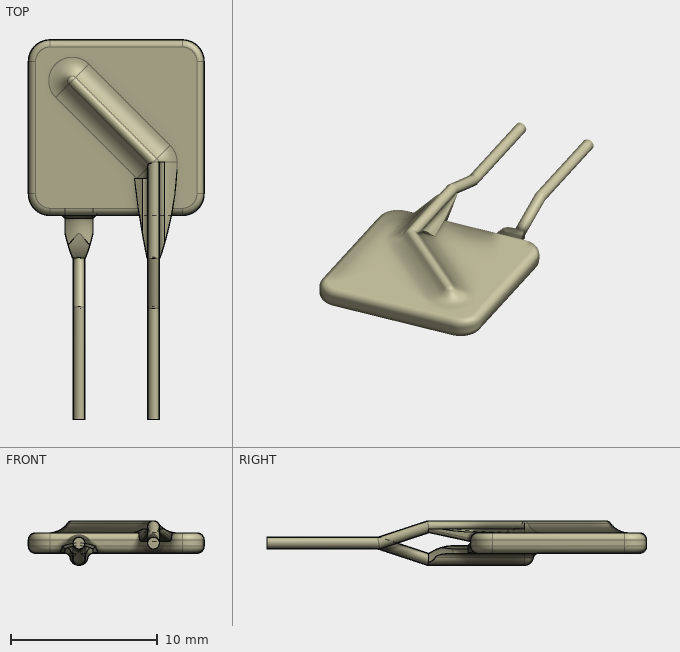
import cadquery as cq
import math

BODY_SIZE = 12.0
BODY_THICKNESS = 1.4
BODY_CORNER_RADIUS = 1.5
BODY_EDGE_RADIUS = 0.5
FACE_Z = BODY_THICKNESS / 2
FRONT_Y = -BODY_SIZE / 2

WIRE_DIAMETER = 0.8
WIRE_RADIUS = WIRE_DIAMETER / 2
LEAD_PITCH = 5.08
LEAD_X = LEAD_PITCH / 2
LEAD_Z = 1.12
LEAD_START_Y = -2.34
SLOPE_START_Y = -8.87
SLOPE_END_Y = -12.27
LEAD_END_Y = -19.9

RIDGE_HALF_WIDTH = 1.6
DIAGONAL_END_X = -3.0
DIAGONAL_LENGTH = (LEAD_X - DIAGONAL_END_X) * math.sqrt(2)
DIAGONAL_ANGLE = 135.0

TAIL_INNER_OFFSET = 1.3
TAIL_INNER_TAPER_Y = -3.45
TAIL_INNER_MID_OFFSET = 0.98
TAIL_OUTER_TAPER_Y = -2.9
TAIL_OUTER_MID_OFFSET = 1.24
TAIL_MID_Y = -5.9
TAIL_UNDERSIDE_Z = 0.1
TAIL_TOP_Z = 0.95
TAIL_EDGE_RADIUS = 0.22

NECK_HALF_WIDTH = 0.96
SHEATH_RADIUS = 0.62
NECK_CROWN_Z = -0.17
NECK_SHOULDER_Z = -0.4
NECK_TAPER_Y = -7.2
NECK_MID_Y = -8.1
NECK_MID_OFFSET = 0.72
NECK_MID_RISE = 0.33
NECK_ROOT_REACH = 0.18
NECK_ROOT_DEPTH = 0.3
NECK_ROOT_BASE_Z = -0.65

RIDGE_TOP_Z = LEAD_Z + WIRE_RADIUS
WIRE_UNDERSIDE_Z = LEAD_Z - WIRE_RADIUS
COATING_TIP_OFFSET = 0.45


def flare_points(half_width, crest_radius):
    """Middle of the concave flare rising from the face, and its contact with the round crest."""
    crest_z = RIDGE_TOP_Z - crest_radius
    rise = crest_z - FACE_Z
    flare_radius = (half_width**2 + rise**2 - crest_radius**2) / (2 * (crest_radius + rise))
    flare_z = FACE_Z + flare_radius
    fraction = crest_radius / (crest_radius + flare_radius)
    contact_x = fraction * half_width
    contact_z = crest_z + fraction * (flare_z - crest_z)
    contact_angle = math.atan2(contact_z - flare_z, contact_x - half_width) % (2 * math.pi)
    middle_angle = (contact_angle + 1.5 * math.pi) / 2
    middle_x = half_width + flare_radius * math.cos(middle_angle)
    middle_z = flare_z + flare_radius * math.sin(middle_angle)
    return (middle_x, middle_z), (contact_x, contact_z)


def mirrored(point):
    return (-point[0], point[1])


def ridge_section(plane, half_width, crest_radius, base_z, base_crown_z):
    """Round crest flared out to the face; the base bows to base_crown_z."""
    middle, contact = flare_points(half_width, crest_radius)
    section = (
        cq.Workplane(plane)
        .moveTo(half_width, base_z)
        .lineTo(half_width, FACE_Z)
        .threePointArc(middle, contact)
        .threePointArc((0, RIDGE_TOP_Z), mirrored(contact))
        .threePointArc(mirrored(middle), (-half_width, FACE_Z))
        .lineTo(-half_width, base_z)
    )
    if base_crown_z == base_z:
        return section.close()
    return section.threePointArc((0, base_crown_z), (half_width, base_z)).close()


def ridge_end(half_width, crest_radius):
    """Half of the ridge section turned about the vertical through the lead's start."""
    middle, contact = flare_points(half_width, crest_radius)
    crest_z = RIDGE_TOP_Z - crest_radius
    cap_angle = (math.atan2(contact[1] - crest_z, contact[0]) + math.pi / 2) / 2
    cap = (crest_radius * math.cos(cap_angle), crest_z + crest_radius * math.sin(cap_angle))
    end = (
        cq.Workplane("XZ")
        .lineTo(half_width, 0)
        .lineTo(half_width, FACE_Z)
        .threePointArc(middle, contact)
        .threePointArc(cap, (0, RIDGE_TOP_Z))
        .close()
        .revolve(360, (0, 0, 0), (0, 1, 0))
    )
    return end.translate((0, LEAD_START_Y, 0))


def make_body():
    return (
        cq.Workplane("XY")
        .box(BODY_SIZE, BODY_SIZE, BODY_THICKNESS)
        .edges("|Z")
        .fillet(BODY_CORNER_RADIUS)
        .faces("<Z or >Z")
        .edges()
        .fillet(BODY_EDGE_RADIUS)
    )


def make_lead():
    """Wire in the plane X = 0, bent from LEAD_Z down to mid height."""
    path = cq.Workplane("YZ").polyline(
        [
            (LEAD_START_Y, LEAD_Z),
            (SLOPE_START_Y, LEAD_Z),
            (SLOPE_END_Y, 0),
            (LEAD_END_Y, 0),
        ]
    )
    profile = cq.Workplane("XZ", origin=(0, LEAD_START_Y, LEAD_Z)).circle(WIRE_RADIUS)
    return profile.sweep(path, transition="right")


def make_straight_ridge(half_width, crest_radius, base_z, base_crown_z):
    plane = cq.Plane(origin=(0, LEAD_START_Y, 0), xDir=(1, 0, 0), normal=(0, -1, 0))
    length = LEAD_START_Y - SLOPE_START_Y
    return ridge_section(plane, half_width, crest_radius, base_z, base_crown_z).extrude(length)


def prism_from_above(outline):
    return outline.close().extrude(BODY_SIZE / 2, both=True)


def make_upper_tail():
    """Ridge over the upper lead, narrowing to the wire beyond the body."""
    plan = prism_from_above(
        cq.Workplane("XY")
        .moveTo(-WIRE_RADIUS, LEAD_START_Y)
        .lineTo(-WIRE_RADIUS, TAIL_INNER_TAPER_Y)
        .lineTo(-TAIL_INNER_OFFSET, TAIL_INNER_TAPER_Y)
        .threePointArc((-TAIL_INNER_MID_OFFSET, TAIL_MID_Y), (-COATING_TIP_OFFSET, SLOPE_START_Y))
        .lineTo(COATING_TIP_OFFSET, SLOPE_START_Y)
        .threePointArc((TAIL_OUTER_MID_OFFSET, TAIL_MID_Y), (RIDGE_HALF_WIDTH, TAIL_OUTER_TAPER_Y))
        .lineTo(RIDGE_HALF_WIDTH, LEAD_START_Y)
    )
    side = (
        cq.Workplane("YZ")
        .moveTo(LEAD_START_Y, TAIL_UNDERSIDE_Z)
        .lineTo(FRONT_Y, TAIL_UNDERSIDE_Z)
        .lineTo(SLOPE_START_Y, WIRE_UNDERSIDE_Z)
        .lineTo(SLOPE_START_Y, TAIL_TOP_Z)
        .lineTo(LEAD_START_Y, TAIL_TOP_Z)
        .close()
        .extrude(RIDGE_HALF_WIDTH, both=True)
    )
    ridge = make_straight_ridge(RIDGE_HALF_WIDTH, WIRE_RADIUS, 0, 0)
    tail = ridge.intersect(plan).intersect(side)
    side_edges = cq.selectors.BoxSelector(
        (-RIDGE_HALF_WIDTH, SLOPE_START_Y, TAIL_UNDERSIDE_Z),
        (RIDGE_HALF_WIDTH, FRONT_Y, FACE_Z),
    )
    return tail.edges(side_edges).edges("not #Y").fillet(TAIL_EDGE_RADIUS)


def make_diagonal_ridge():
    """Ridge running diagonally from the lead's bend to a rounded end."""
    angle = math.radians(DIAGONAL_ANGLE)
    direction = (math.cos(angle), math.sin(angle), 0)
    plane = cq.Plane(
        origin=(0, LEAD_START_Y, 0),
        xDir=(-direction[1], direction[0], 0),
        normal=direction,
    )
    ridge = ridge_section(plane, RIDGE_HALF_WIDTH, WIRE_RADIUS, 0, 0).extrude(DIAGONAL_LENGTH)
    bend = ridge_end(RIDGE_HALF_WIDTH, WIRE_RADIUS)
    far_end = bend.translate((DIAGONAL_LENGTH * direction[0], DIAGONAL_LENGTH * direction[1], 0))
    beyond_bend = prism_from_above(
        cq.Workplane("XY")
        .moveTo(RIDGE_HALF_WIDTH, LEAD_START_Y)
        .lineTo(-WIRE_RADIUS, LEAD_START_Y)
        .lineTo(-WIRE_RADIUS, TAIL_INNER_TAPER_Y)
        .lineTo(-RIDGE_HALF_WIDTH, TAIL_INNER_TAPER_Y)
        .lineTo(-RIDGE_HALF_WIDTH, SLOPE_START_Y)
        .lineTo(RIDGE_HALF_WIDTH, SLOPE_START_Y)
    )
    return ridge.union(bend.cut(beyond_bend)).union(far_end)


def make_neck():
    """Coating on the lower lead, modelled upside down, before it is turned to the lower face."""
    crown_z = -NECK_CROWN_Z
    shoulder_z = -NECK_SHOULDER_Z
    plan = prism_from_above(
        cq.Workplane("XY")
        .moveTo(NECK_HALF_WIDTH, LEAD_START_Y)
        .lineTo(NECK_HALF_WIDTH, NECK_TAPER_Y)
        .threePointArc((NECK_MID_OFFSET, NECK_MID_Y), (COATING_TIP_OFFSET, SLOPE_START_Y))
        .lineTo(-COATING_TIP_OFFSET, SLOPE_START_Y)
        .threePointArc((-NECK_MID_OFFSET, NECK_MID_Y), (-NECK_HALF_WIDTH, NECK_TAPER_Y))
        .lineTo(-NECK_HALF_WIDTH, LEAD_START_Y)
    )
    side = (
        cq.Workplane("YZ")
        .moveTo(LEAD_START_Y, crown_z)
        .lineTo(NECK_TAPER_Y, crown_z)
        .threePointArc((NECK_MID_Y, NECK_MID_RISE), (SLOPE_START_Y, WIRE_UNDERSIDE_Z))
        .lineTo(SLOPE_START_Y, RIDGE_TOP_Z)
        .lineTo(LEAD_START_Y, RIDGE_TOP_Z)
        .close()
        .extrude(NECK_HALF_WIDTH, both=True)
    )
    ridge = make_straight_ridge(NECK_HALF_WIDTH, SHEATH_RADIUS, shoulder_z, crown_z)
    end = ridge_end(NECK_HALF_WIDTH, SHEATH_RADIUS)
    return ridge.intersect(plan).intersect(side).union(end)


def place_upper(shape):
    return shape.translate((LEAD_X, 0, 0))


def place_lower(shape):
    return shape.rotate((0, 0, 0), (0, 1, 0), 180).translate((-LEAD_X, 0, 0))


def neck_root_section(workplane, growth):
    """Crown and sides of the neck, grown outward from the neck's own size."""
    half_width = NECK_HALF_WIDTH + growth
    shoulder_z = NECK_SHOULDER_Z + growth
    return (
        workplane.moveTo(-half_width, NECK_ROOT_BASE_Z)
        .lineTo(-half_width, shoulder_z)
        .threePointArc((0, NECK_CROWN_Z + growth), (half_width, shoulder_z))
        .lineTo(half_width, NECK_ROOT_BASE_Z)
        .close()
    )


def make_neck_root():
    """Flare at 45 degrees that blends the neck into the body's front face."""
    plane = cq.Workplane("XZ", origin=(-LEAD_X, FRONT_Y - NECK_ROOT_REACH, 0))
    small_end = neck_root_section(plane, 0)
    large_end = neck_root_section(small_end.workplane(offset=-NECK_ROOT_DEPTH), NECK_ROOT_DEPTH)
    return large_end.loft(ruled=True)


def make_part():
    part = make_body().union(place_lower(make_neck())).union(make_neck_root())
    part = part.union(place_upper(make_diagonal_ridge()))
    part = part.union(place_upper(make_upper_tail()))
    part = part.union(place_upper(make_lead()))
    return part.union(place_lower(make_lead()))


result = make_part()